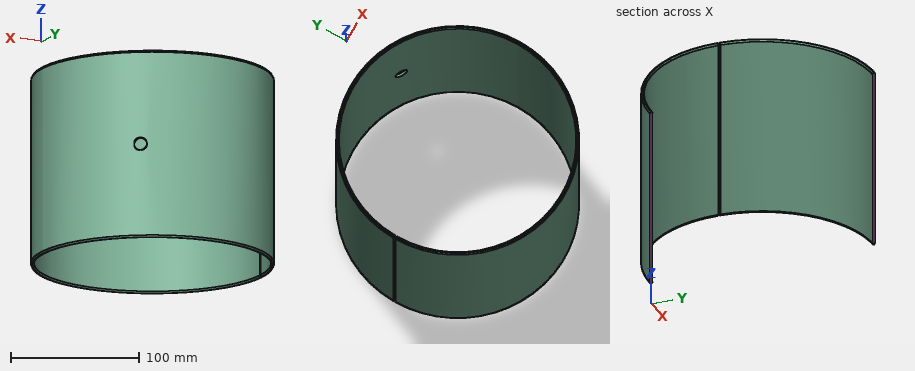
import cadquery as cq

outer_diameter = 190.0
height = 150.0
wall = 2.5
chamfer_depth = 1.0
chamfer_height = 1.5

slit_width = 1.9
slit_center_y = 1.0

hole_diameter = 10.0
hole_angle = 59.0

outer_radius = outer_diameter / 2
inner_radius = outer_radius - wall


def make_sleeve():
    """Thin tube centred on the origin, with inner and outer rims chamfered."""
    top = height / 2
    shoulder = top - chamfer_height
    profile = [
        (inner_radius, -shoulder),
        (inner_radius + chamfer_depth, -top),
        (outer_radius - chamfer_depth, -top),
        (outer_radius, -shoulder),
        (outer_radius, shoulder),
        (outer_radius - chamfer_depth, top),
        (inner_radius + chamfer_depth, top),
        (inner_radius, shoulder),
    ]
    return cq.Workplane("XZ").polyline(profile).close().revolve(360, (0, 0), (0, 1))


def make_slit():
    """Box that opens the -X wall from top to bottom."""
    return (
        cq.Workplane("XY")
        .center(-outer_radius, slit_center_y)
        .box(outer_radius, slit_width, height)
    )


def make_hole():
    """Cylinder from the axis outwards through one side of the wall."""
    cutter = cq.Workplane("YZ").circle(hole_diameter / 2).extrude(outer_diameter)
    return cutter.rotate((0, 0, 0), (0, 0, 1), hole_angle)


result = make_sleeve().cut(make_slit()).cut(make_hole())